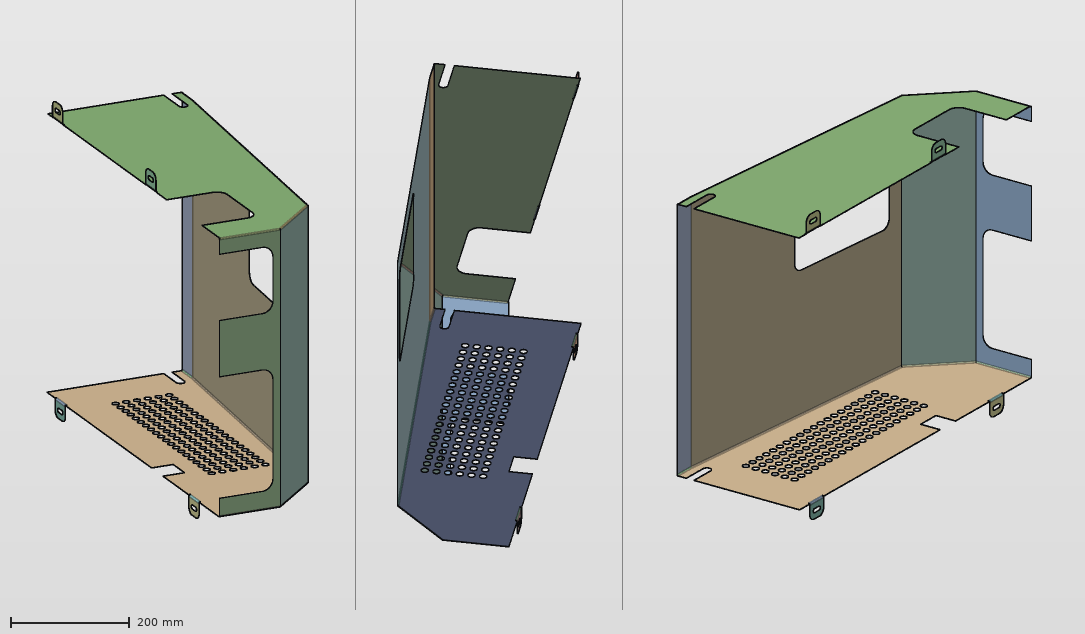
import cadquery as cq

length = 682.0
depth = 252.0
overall_height = 564.0
tab_height = 32.0
height = overall_height - 2 * tab_height
thickness = 1.0
bend_radius = 3.0

reach = 7.0

flat_strip_end = 41.0
slope_end = (595.0, 206.5)
end_wall_depth = 114.0

window_left, window_width = 313.0, 249.0
window_bottom, window_height = 267.0, 188.0
window_radius = 18.0

cutout_radius = 20.0

end_opening_depth = 99.5
end_openings = [(34.0, 251.5), (352.5, 471.0)]

top_edge_setback = 1.5

top_cutout_left, top_cutout_width, top_cutout_depth = 470.0, 140.0, 105.0

notch_left, notch_width, notch_depth = 413.0, 45.0, 40.0

edge_slot_center = 225.0
edge_slot_width = 16.0
top_slot_length = 68.0
bottom_slot_length = 57.0

vent_columns, vent_rows = 20, 6
vent_span_x = 380.0
vent_pitch = vent_span_x / (vent_columns - 1)
vent_diameter = 12.0
vent_first_x, vent_first_y = 100.0, 80.5

tab_width = 41.0
tab_bend_radius = 3.5
tab_corner_radius = 12.0
tab_slot_length, tab_slot_width = 20.5, 7.5
tab_slot_from_tip = 15.0
top_tab_lefts = [20.5, 389.0]
bottom_tab_lefts = [31.0, 559.0]


def box(x, y, z, dx, dy, dz):
    """Box given by its lowest corner and its sizes."""
    return cq.Workplane("XY").box(dx, dy, dz, centered=False).translate((x, y, z))


def cover():
    """Folded cover with rounded bends between the plates and the rear and end walls."""
    outline = [
        (0, 0),
        (length, 0),
        (length, end_wall_depth),
        slope_end,
        (flat_strip_end, depth),
        (0, depth),
    ]
    block = cq.Workplane("XY").polyline(outline).close().extrude(height)
    folds = block.faces("<Z or >Z").edges("not(<X or <Y)")
    return folds.fillet(bend_radius).faces("<X or <Y").shell(-thickness)


def window():
    """Rounded window through the sloping rear wall."""
    opening = box(window_left, depth / 2, window_bottom, window_width, depth, window_height)
    return opening.edges("|Y").fillet(window_radius)


def end_opening(bottom, top):
    """Opening in the end wall with rounded inner corners."""
    opening = box(length - reach, 0, bottom, 2 * reach, end_opening_depth, top - bottom)
    return opening.edges("|X and >Y").fillet(cutout_radius)


def top_cutout():
    """Cutout in the top plate with rounded inner corners."""
    opening = box(top_cutout_left, 0, height - reach, top_cutout_width, top_cutout_depth, 2 * reach)
    return opening.edges("|Z and >Y").fillet(cutout_radius)


def edge_slot(slot_length, z):
    """Slot with a round inner end, open at the left edge of the plate around height z."""
    slot = (
        cq.Workplane("XY")
        .center(0, edge_slot_center)
        .slot2D(2 * slot_length, edge_slot_width)
        .extrude(reach, both=True)
    )
    return slot.translate((0, 0, z))


def vents():
    """Square grid of round holes through the bottom plate."""
    centers = [
        (vent_first_x + column * vent_pitch, vent_first_y + row * vent_pitch)
        for column in range(vent_columns)
        for row in range(vent_rows)
    ]
    holes = cq.Workplane("XY").pushPoints(centers).circle(vent_diameter / 2)
    return holes.extrude(reach, both=True)


def top_tab(left):
    """Upright tab on the top plate, with a bend at its root and a slotted hole."""
    root = height - thickness
    foot_depth = tab_bend_radius + thickness
    blank = box(left, 0, root, tab_width, foot_depth, tab_height + thickness)
    blank = blank.edges("<Y and <Z").fillet(tab_bend_radius)
    hollow = box(left, thickness, height, tab_width, foot_depth, 2 * tab_height)
    hollow = hollow.edges("<Y and <Z").fillet(tab_bend_radius - thickness)
    tab = blank.cut(hollow)
    tab = tab.edges("|Y and >Z").fillet(tab_corner_radius)
    slot = (
        cq.Workplane("XZ")
        .center(left + tab_width / 2, height + tab_height - tab_slot_from_tip)
        .slot2D(tab_slot_length, tab_slot_width)
        .extrude(reach, both=True)
    )
    return tab.cut(slot)


def bottom_tab(left):
    """Same tab mirrored to hang from the bottom plate."""
    return top_tab(left).mirror("XY", (0, 0, height / 2))


def tab_edge_relief(left, bottom):
    """Strip of plate edge replaced by the bend of a tab."""
    return box(left, 0, bottom, tab_width, tab_bend_radius, thickness)


result = cover().cut(window()).cut(top_cutout()).cut(vents())
for bottom, top in end_openings:
    result = result.cut(end_opening(bottom, top))
result = result.cut(box(0, 0, height - thickness, length, top_edge_setback, thickness))
result = result.cut(box(notch_left, 0, -reach, notch_width, notch_depth, 2 * reach))
result = result.cut(edge_slot(top_slot_length, height)).cut(edge_slot(bottom_slot_length, 0))

for left in top_tab_lefts:
    result = result.cut(tab_edge_relief(left, height - thickness)).union(top_tab(left))
for left in bottom_tab_lefts:
    result = result.cut(tab_edge_relief(left, 0)).union(bottom_tab(left))